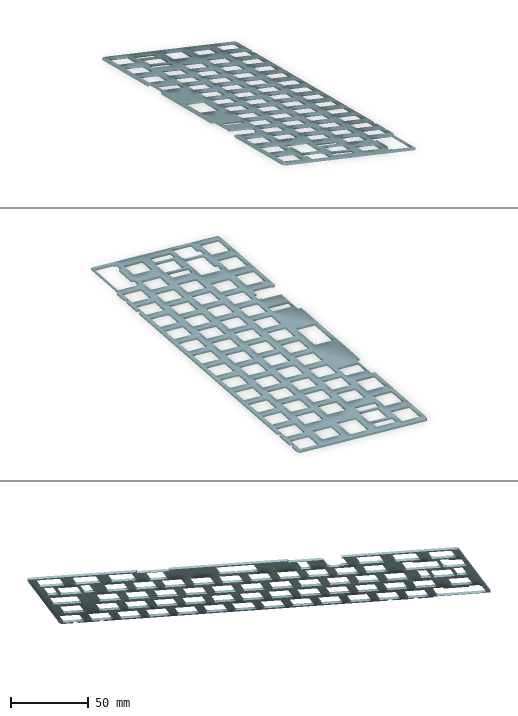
import cadquery as cq

LENGTH = 285.8
COLUMNS = 15
ROWS = 5
PITCH = LENGTH / COLUMNS
WIDTH = ROWS * PITCH
THICKNESS = 1.5
CORNER_RADIUS = 2.5

SWITCH = 14.0
CUTOUT_RADIUS = 0.5

SLOT_WIDTH = SWITCH / 2
SLOT_NEAR = 6.0
SLOT_FAR = 9.1
SHORT_REACH = 12.0
SPACE_6U25_REACH = 50.0
SPACE_7U_REACH = 57.2

LOWER_RELIEFS = [(72.5, 94.0), (173.0, 208.5)]
LOWER_RELIEF_DEPTH = 2.5

STEP_START = 247.5
STEP_DEPTH = 1.7

NOTCHES = [(9.0, 1), (29.0, -1), (220.5, -1), (234.3, 1)]
NOTCH_DEPTH = 2.0
NOTCH_FLOOR = 2.0
NOTCH_MOUTH = 3.5

KEY_ROWS = [
    [0.5 + i for i in range(15)] + [14.0],
    [0.75] + [2.0 + i for i in range(12)] + [14.25],
    [0.625, 0.875] + [2.25 + i for i in range(11)] + [13.875],
    [1.125] + [2.75 + i for i in range(10)] + [13.125, 13.625, 14.5],
    [0.625, 0.75, 1.875, 2.0, 3.125, 3.25]
    + [6.875, 7.5]
    + [10.625, 11.75, 11.875, 13.0, 13.125, 14.25, 14.375],
]

STABILIZERS = [
    (0, 14.0, SHORT_REACH, -1),
    (2, 13.875, SHORT_REACH, -1),
    (3, 1.125, SHORT_REACH, -1),
    (3, 13.625, SHORT_REACH, -1),
    (4, 6.875, SPACE_6U25_REACH, 1),
    (4, 7.5, SPACE_7U_REACH, 1),
]


def block(left, right, bottom, top):
    """Full-thickness rectangular block."""
    solid = cq.Workplane("XY").box(right - left, top - bottom, THICKNESS, centered=False)
    return solid.translate((left, bottom, 0))


def row_centre(row):
    """Height of a key row's centre line above the lower edge."""
    return WIDTH - (row + 0.5) * PITCH


def switch_cutout(row, centre):
    """Rounded square opening around a key centre given in key units."""
    x = centre * PITCH
    y = row_centre(row)
    half = SWITCH / 2
    return block(x - half, x + half, y - half, y + half).edges("|Z").fillet(CUTOUT_RADIUS)


def stabilizer_slot(row, x, long_side):
    """Rounded slot whose longer end points up (1) or down (-1) from the row's centre line."""
    y = row_centre(row)
    ends = sorted([y + long_side * SLOT_FAR, y - long_side * SLOT_NEAR])
    slot = block(x - SLOT_WIDTH / 2, x + SLOT_WIDTH / 2, *ends)
    return slot.edges("|Z").fillet(CUTOUT_RADIUS)


def edge_notch(wall, direction):
    """Upper-edge notch with one upright and one sloped wall."""
    floor = WIDTH - NOTCH_DEPTH
    return (
        cq.Workplane("XY")
        .moveTo(wall, WIDTH)
        .lineTo(wall, floor)
        .lineTo(wall + direction * NOTCH_FLOOR, floor)
        .lineTo(wall + direction * NOTCH_MOUTH, WIDTH)
        .close()
        .extrude(THICKNESS)
    )


plate = block(0, LENGTH, 0, WIDTH)
plate = plate.edges("|Z").fillet(CORNER_RADIUS)
plate = plate.cut(block(STEP_START, LENGTH, WIDTH - STEP_DEPTH, WIDTH))

cutters = []
for row, centres in enumerate(KEY_ROWS):
    for centre in centres:
        cutters.append(switch_cutout(row, centre))

for row, centre, reach, long_side in STABILIZERS:
    for side in (-1, 1):
        cutters.append(stabilizer_slot(row, centre * PITCH + side * reach, long_side))

for left, right in LOWER_RELIEFS:
    cutters.append(block(left, right, 0, LOWER_RELIEF_DEPTH))

for wall, direction in NOTCHES:
    cutters.append(edge_notch(wall, direction))

for cutter in cutters:
    plate = plate.cut(cutter)

result = plate.translate((-LENGTH / 2, -WIDTH / 2, 0))